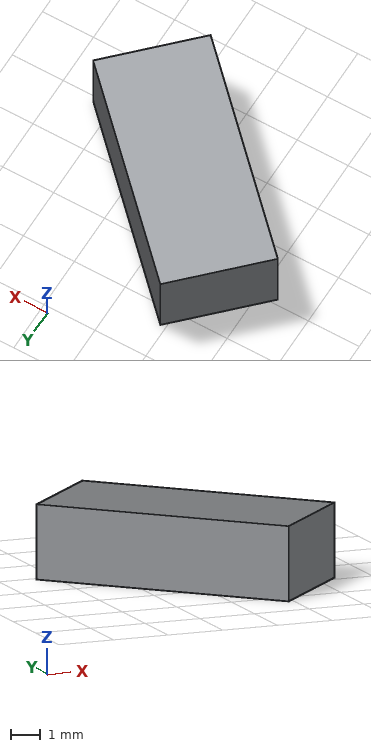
import cadquery as cq
import math

span = 9.4
block_width = 4.1
block_height = 2.6
turn_angle = -45.0

block_length = span * math.sqrt(2) - block_width

result = (
    cq.Workplane("XY")
    .box(block_length, block_width, block_height)
    .rotate((0, 0, 0), (0, 0, 1), turn_angle)
)